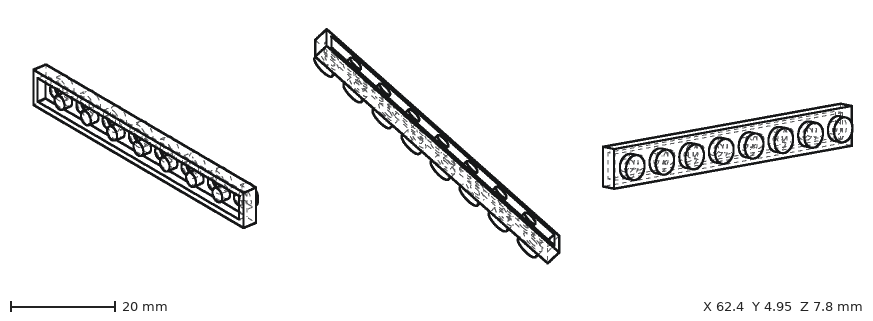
import cadquery as cq

stud_count = 8
length = 62.4
pitch = length / stud_count
width = pitch
plate_depth = 3.2
roof_thickness = 1.25
wall = 1.3

stud_diameter = 4.85
stud_height = 1.75
stud_hole_diameter = 2.45
stud_hole_depth = roof_thickness
pin_diameter = 2.95

open_face = 0.0
back_face = open_face + plate_depth
pocket_floor = back_face - roof_thickness
pocket_depth = pocket_floor - open_face

stud_places = [(i - (stud_count - 1) / 2) * pitch for i in range(stud_count)]
pin_places = [x + pitch / 2 for x in stud_places[:-1]]


def block(size_x, size_z, start_y, depth):
    """Box centred in X and Z, running toward +Y from start_y."""
    return cq.Workplane("XY").box(size_x, depth, size_z).translate((0, start_y + depth / 2, 0))


def cylinders(places, diameter, start_y, depth):
    """Row of cylinders along X, each running toward +Y from start_y."""
    centres = [(x, 0) for x in places]
    plane = cq.Workplane("XZ").workplane(offset=-start_y)
    return plane.pushPoints(centres).circle(diameter / 2).extrude(-depth)


plate = block(length, width, open_face, plate_depth)
pocket = block(length - 2 * wall, width - 2 * wall, open_face, pocket_depth)

studs = cylinders(stud_places, stud_diameter, back_face, stud_height)
stud_holes = cylinders(stud_places, stud_hole_diameter, pocket_floor, stud_hole_depth)

pins = cylinders(pin_places, pin_diameter, open_face, pocket_depth)

result = plate.cut(pocket).union(studs).cut(stud_holes).union(pins)